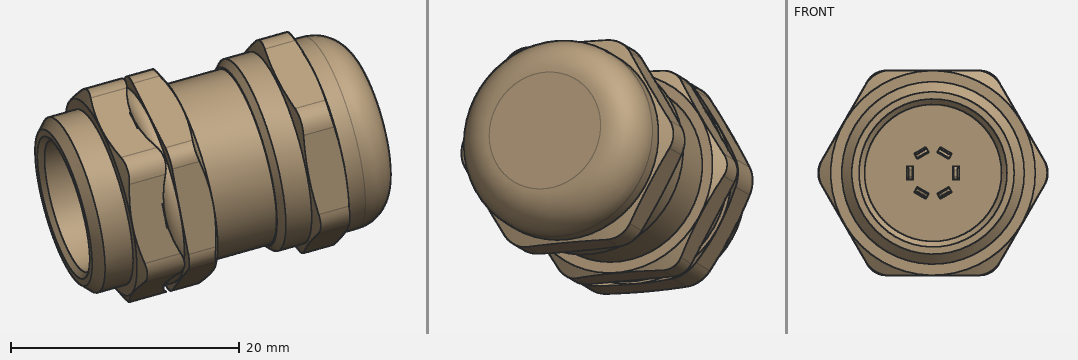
import cadquery as cq
import math

total_length = 28.45

barrel_diameter = 16.0
barrel_end_chamfer = 0.88
bore_diameter = 12.0
bore_chamfer = 0.48

across_flats = 18.0
across_corners = across_flats / math.cos(math.radians(30))
hex_corner_radius = 2.5
locknut_corner_radius = 2.0
nut_face_diameter = 17.93
nut_bevel_slope = math.tan(math.radians(30))
dish_slope = math.tan(math.radians(45))
cap_bevel_slope = math.tan(math.radians(17))

body_hex_start = 3.5
dish_floor = 6.55
locknut_start = 8.0
locknut_end = 11.07
cap_start = 16.93
cap_hex_start = 19.95
cap_hex_end = 23.42

ring_diameter = nut_face_diameter
ring_tube_radius = 1.0

cap_diameter = 17.5
cap_rim_chamfer = 0.6
dome_radius = 3.5

bore_floor = cap_start
pad_count = 6
pad_circle_radius = 2.02
pad_width = 0.55
pad_length = 1.17
pad_height = 0.45
pad_inner_draft = 0.09
pad_outer_draft = 0.17
pad_top_slope = math.tan(math.radians(20))
pad_end_radius = 0.3


def cylinder(diameter, start, end):
    """Cylinder on the Y axis between two positions."""
    return cq.Workplane("XZ", origin=(0, start, 0)).circle(diameter / 2).extrude(start - end)


def turned(profile):
    """Solid turned about the Y axis from a closed radius-and-Y profile."""
    return profile.revolve(360, (0, 0, 0), (0, 1, 0))


def bevel_rim(face, face_diameter, slope, direction):
    """Y position where a cone starting at `face` reaches the sharp hexagon corners."""
    return face + direction * slope * (across_corners - face_diameter) / 2


def cone_end(face, face_diameter, slope, direction):
    """Cone frustum with its small end at `face`, widening along `direction` to the sharp corners."""
    face_radius = face_diameter / 2
    corner_radius = across_corners / 2
    rim = bevel_rim(face, face_diameter, slope, direction)
    outline = [(0, face), (face_radius, face), (corner_radius, rim), (0, rim)]
    return turned(cq.Workplane("XY").polyline(outline).close())


def hexagon(start, end, corner_radius):
    """Rounded hexagonal prism on the Y axis with flats facing up and down."""
    prism = cq.Workplane("XZ", origin=(0, start, 0)).polygon(6, across_corners).extrude(start - end)
    return prism.edges("|Y").fillet(corner_radius)


def bevel(prism, face, face_diameter, slope, direction):
    """Turn the corners of a hexagon down to a cone at one end face."""
    rim = bevel_rim(face, face_diameter, slope, direction)
    end_slab = cylinder(2 * across_corners, *sorted((face, rim)))
    return prism.cut(end_slab.cut(cone_end(face, face_diameter, slope, direction)))


def make_barrel():
    barrel = cylinder(barrel_diameter, 0, cap_start)
    return barrel.faces("<Y").edges().chamfer(barrel_end_chamfer)


def make_body_hex():
    """Hexagon bevelled in front, with a conical dish behind that leaves its corners standing."""
    dish_rim = bevel_rim(dish_floor, ring_diameter, dish_slope, 1)
    body_hex = hexagon(body_hex_start, dish_rim, hex_corner_radius)
    body_hex = bevel(body_hex, body_hex_start, nut_face_diameter, nut_bevel_slope, 1)
    return body_hex.cut(cone_end(dish_floor, ring_diameter, dish_slope, 1))


def make_ring():
    """Round-edged ring resting on the dish floor, cut off flat where the locknut presses on it."""
    center_radius = ring_diameter / 2 - ring_tube_radius
    center_y = dish_floor + ring_tube_radius
    contact_angle = math.asin((locknut_start - center_y) / ring_tube_radius)
    contact_radius = center_radius + ring_tube_radius * math.cos(contact_angle)
    middle_angle = (contact_angle - math.pi / 2) / 2
    middle_radius = center_radius + ring_tube_radius * math.cos(middle_angle)
    middle_y = center_y + ring_tube_radius * math.sin(middle_angle)
    profile = (
        cq.Workplane("XY")
        .moveTo(0, dish_floor)
        .lineTo(center_radius, dish_floor)
        .threePointArc((middle_radius, middle_y), (contact_radius, locknut_start))
        .lineTo(0, locknut_start)
        .close()
    )
    return turned(profile)


def make_locknut():
    locknut = hexagon(locknut_start, locknut_end, locknut_corner_radius)
    return bevel(locknut, locknut_end, nut_face_diameter, nut_bevel_slope, -1)


def make_cap():
    cap = cylinder(cap_diameter, cap_start, total_length)
    cap = cap.faces("<Y").edges().chamfer(cap_rim_chamfer)
    cap = cap.faces(">Y").edges().fillet(dome_radius)
    cap_hex = hexagon(cap_hex_start, cap_hex_end, hex_corner_radius)
    cap_hex = bevel(cap_hex, cap_hex_start, cap_diameter, cap_bevel_slope, 1)
    cap_hex = bevel(cap_hex, cap_hex_end, cap_diameter, cap_bevel_slope, -1)
    return cap.union(cap_hex)


def make_bore():
    """Blind bore with a 45 degree lead-in at its mouth."""
    bore_radius = bore_diameter / 2
    mouth_radius = bore_radius + bore_chamfer
    outline = [
        (0, 0),
        (mouth_radius, 0),
        (bore_radius, bore_chamfer),
        (bore_radius, bore_floor),
        (0, bore_floor),
    ]
    return turned(cq.Workplane("XY").polyline(outline).close())


def make_pad():
    """Pad with drafted sides, a top sloping down away from the axis, and rounded ends."""
    inner = pad_circle_radius - pad_width / 2
    outer = pad_circle_radius + pad_width / 2
    top_inner = inner + pad_inner_draft
    top_outer = outer - pad_outer_draft
    top = bore_floor - pad_height
    top_drop = pad_top_slope * (top_outer - top_inner)
    side = [(inner, bore_floor), (top_inner, top), (top_outer, top + top_drop), (outer, bore_floor)]
    pad = cq.Workplane("XY").polyline(side).close().extrude(pad_length / 2, both=True)
    top_middle = ((top_inner + top_outer) / 2, top + top_drop / 2, 0)
    top_face = pad.faces(cq.selectors.NearestToPointSelector(top_middle))
    return top_face.edges("not |Z").fillet(pad_end_radius)


result = make_barrel()
for section in (make_body_hex(), make_ring(), make_locknut(), make_cap()):
    result = result.union(section)
result = result.cut(make_bore())
for index in range(pad_count):
    result = result.union(make_pad().rotate((0, 0, 0), (0, 1, 0), index * 360 / pad_count))